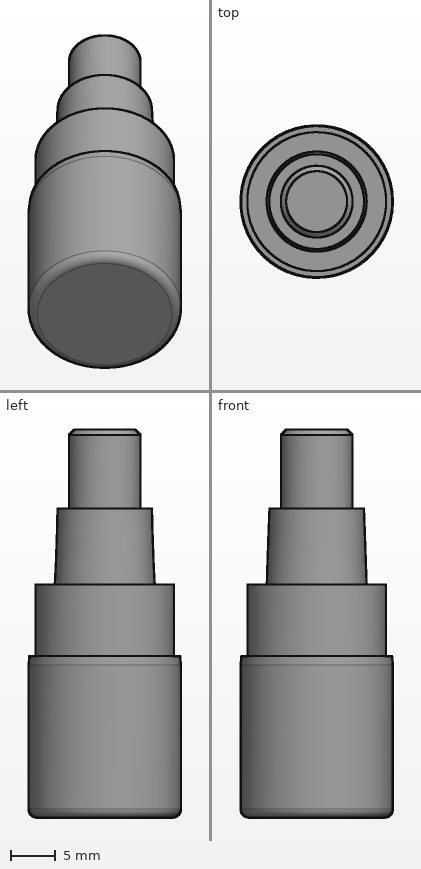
import cadquery as cq

total_height = 43.25

cup_diameter = 17.0
cup_radius = cup_diameter / 2
cup_height = 18.0
bottom_rounding = 1.0
rim_band_height = 1.0
rim_inset = 0.1

body_radius = 7.75
body_top = 26.0
taper_bottom_radius = 5.6
taper_top_radius = 5.28
taper_top = 34.45
pin_diameter = 8.0
pin_radius = pin_diameter / 2
pin_chamfer = 0.6

wall = cup_radius - body_radius
taper_height = taper_top - body_top


def make_cup():
    """Rounded cup with a slightly tapered rim band and a blind bore for the stud."""
    band_bottom = cup_height - rim_band_height
    shell = cq.Workplane("XY").circle(cup_radius).extrude(band_bottom)
    shell = shell.faces("<Z").edges().fillet(bottom_rounding)
    rim_band = (
        cq.Workplane("XY", origin=(0, 0, band_bottom))
        .circle(cup_radius)
        .workplane(offset=rim_band_height)
        .circle(cup_radius - rim_inset)
        .loft()
    )
    bore = (
        cq.Workplane("XY", origin=(0, 0, wall))
        .circle(body_radius)
        .extrude(cup_height - wall)
    )
    return shell.union(rim_band).cut(bore)


def make_stud():
    """Cylindrical body, tapered shoulder and chamfered pin on one axis."""
    body = (
        cq.Workplane("XY", origin=(0, 0, wall))
        .circle(body_radius)
        .extrude(body_top - wall)
    )
    shoulder = (
        cq.Workplane("XY", origin=(0, 0, body_top))
        .circle(taper_bottom_radius)
        .workplane(offset=taper_height)
        .circle(taper_top_radius)
        .loft()
    )
    pin = (
        cq.Workplane("XY", origin=(0, 0, taper_top))
        .circle(pin_radius)
        .extrude(total_height - taper_top)
        .faces(">Z")
        .chamfer(pin_chamfer)
    )
    return body.union(shoulder).union(pin)


cup = make_cup()
stud = make_stud()

result = cq.Compound.makeCompound([cup.val(), stud.val()])